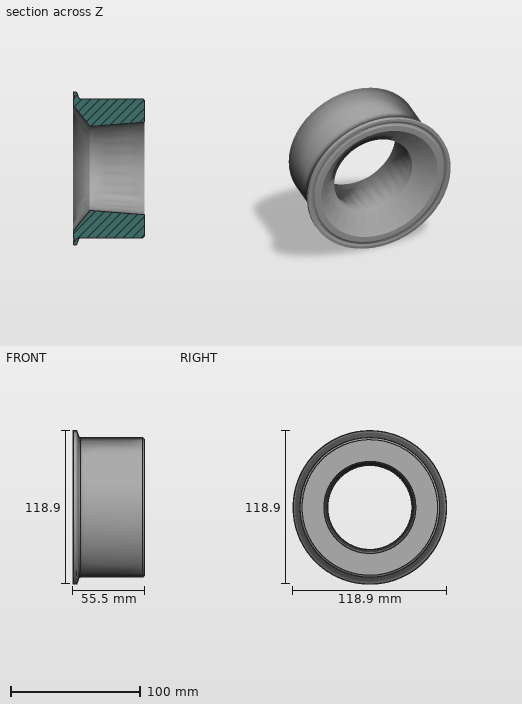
import cadquery as cq
import math

length = 55.5
flange_radius = 118.9 / 2
body_radius = 108.1 / 2
throat_radius = 65.2 / 2

rim_thickness = 2.9
back_face_angle = math.radians(20)
rim_round = 0.5
neck_round = 1.2

groove_center_radius = 55.2
groove_arc_radius = 1.4
groove_depth = 1.13
groove_lip_round = 1.1

taper_mouth_radius = 48.6
taper_depth = 13.1
throat_length = 2.6
exit_radius = 35.7
exit_land_length = 0.5

end_chamfer = 1.5


def ring_around_x(profile):
    """Revolve a profile drawn as (x, radius) about the X axis."""
    return profile.revolve(360, (0, 0, 0), (1, 0, 0))


def round_circle(solid, x, radius, fillet_radius):
    """Fillet the circular edge of the given radius that lies in the plane at x."""
    tolerance = 0.01

    def is_wanted(edge):
        if edge.geomType() != "CIRCLE":
            return False
        return abs(edge.Center().x - x) < tolerance and abs(edge.radius() - radius) < tolerance

    return solid.newObject(solid.edges().filter(is_wanted).vals()).fillet(fillet_radius)


neck_x = rim_thickness + (flange_radius - body_radius) * math.tan(back_face_angle)

ferrule = ring_around_x(
    cq.Workplane("XY")
    .moveTo(0, taper_mouth_radius)
    .lineTo(0, flange_radius)
    .lineTo(rim_thickness, flange_radius)
    .lineTo(neck_x, body_radius)
    .lineTo(length, body_radius)
    .lineTo(length, exit_radius)
    .lineTo(length - exit_land_length, exit_radius)
    .lineTo(taper_depth + throat_length, throat_radius)
    .lineTo(taper_depth, throat_radius)
    .close()
)

outer_edge = cq.selectors.RadiusNthSelector(-1)
ferrule = ferrule.faces(">X").edges(outer_edge).chamfer(end_chamfer)
ferrule = round_circle(ferrule, rim_thickness, flange_radius, rim_round)
ferrule = round_circle(ferrule, neck_x, body_radius, neck_round)

groove_center_x = groove_depth - groove_arc_radius
groove_half_width = math.sqrt(groove_arc_radius**2 - groove_center_x**2)
groove_inner_radius = groove_center_radius - groove_half_width
groove_outer_radius = groove_center_radius + groove_half_width
groove = ring_around_x(
    cq.Workplane("XY")
    .moveTo(0, groove_inner_radius)
    .threePointArc((groove_depth, groove_center_radius), (0, groove_outer_radius))
    .close()
)
result = ferrule.cut(groove)
for lip_radius in (groove_inner_radius, groove_outer_radius):
    result = round_circle(result, 0, lip_radius, groove_lip_round)